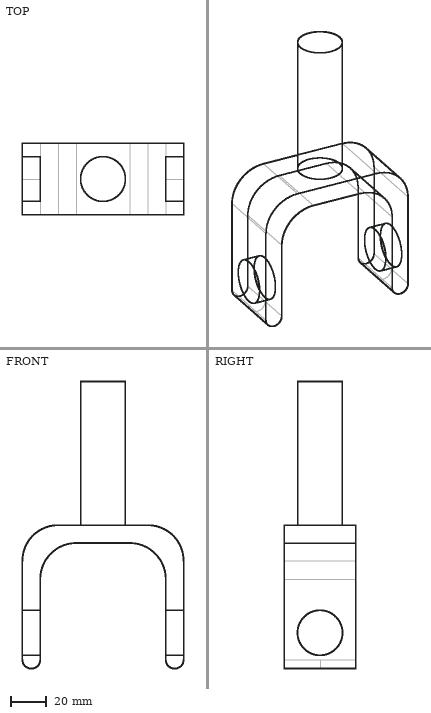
import cadquery as cq

total_height = 160.0
fork_height = 80.0
fork_width = 90.0
fork_depth = 40.0
wall = 10.0
outer_radius = 20.0
inner_radius = 20.0
stem_diameter = 25.0
hole_diameter = 25.0
hole_height = 20.0

tip_radius = wall / 2
inner_width = fork_width - 2 * wall
inner_height = fork_height - wall
stem_length = total_height - fork_height


def arch(width, height, corner_radius):
    """Block standing on Z = 0 with its two upper edges rounded."""
    block = cq.Workplane("XY").box(width, fork_depth, height, centered=(True, True, False))
    return block.edges("|Y and >Z").fillet(corner_radius)


def leg_tip(x):
    """Half-round end of one leg, as a full cylinder along Y."""
    return (
        cq.Workplane("XZ")
        .center(x, tip_radius)
        .circle(tip_radius)
        .extrude(fork_depth / 2, both=True)
    )


def make_fork():
    """U-shaped fork with rounded leg ends and a cross hole through both legs."""
    fork = arch(fork_width, fork_height, outer_radius).cut(arch(inner_width, inner_height, inner_radius))
    square_ends = cq.Workplane("XY").box(fork_width, fork_depth, tip_radius, centered=(True, True, False))
    fork = fork.cut(square_ends)
    leg_offset = (fork_width - wall) / 2
    for x in (-leg_offset, leg_offset):
        fork = fork.union(leg_tip(x))
    cross_hole = (
        cq.Workplane("YZ")
        .center(0, hole_height)
        .circle(hole_diameter / 2)
        .extrude(fork_width / 2, both=True)
    )
    return fork.cut(cross_hole)


def make_stem():
    """Round stem on top of the fork."""
    return cq.Workplane("XY").workplane(offset=fork_height).circle(stem_diameter / 2).extrude(stem_length)


result = make_fork().union(make_stem())